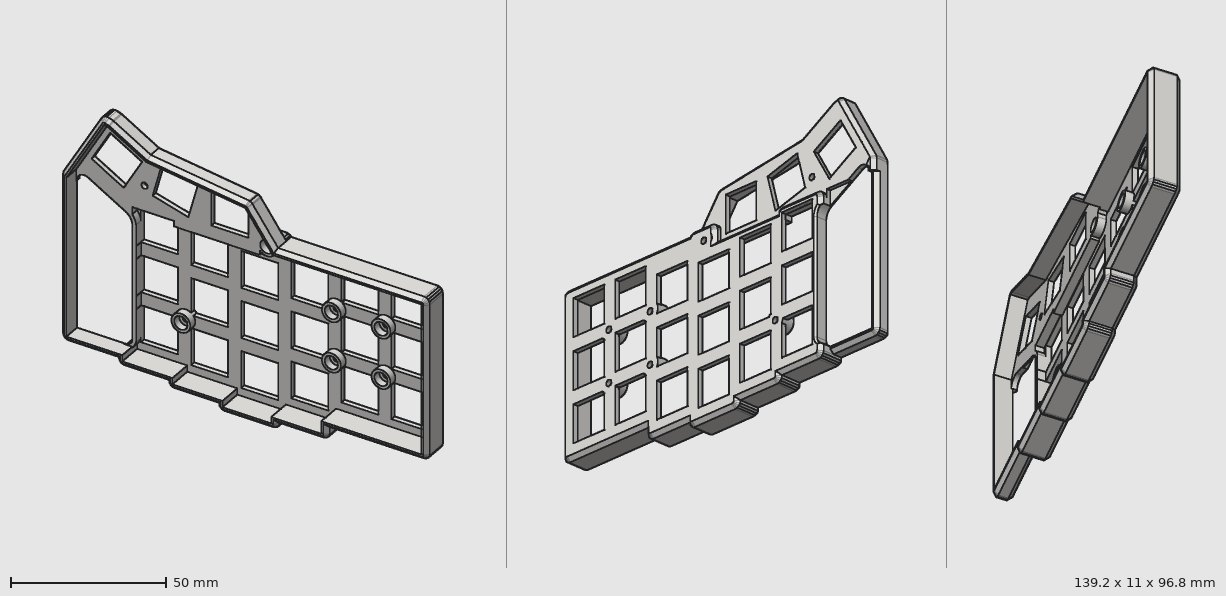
import cadquery as cq
import math

CASE_WIDTH = 139.15
CASE_HEIGHT = 96.8
WALL = 2.25
EDGE_CHAMFER = 1.5
PLATE = 2.0
CORNER_FLAT_ANGLE = math.tau / 16
SMALL_SHARE = 1e-6

FRONT_Y = -5.5
KEY_BACK_Y = 5.5
THUMB_BACK_Y = 2.5
BAY_BACK_Y = 1.0
KEY_FLOOR_Y = KEY_BACK_Y - PLATE
THUMB_FLOOR_Y = THUMB_BACK_Y - PLATE

INNER_LEFT = -CASE_WIDTH / 2 + WALL
INNER_RIGHT = CASE_WIDTH / 2 - WALL
INNER_BOTTOM = -CASE_HEIGHT / 2 + WALL
INNER_TOP = CASE_HEIGHT / 2 - WALL

KEY_PITCH = 19.0
KEY_SIZE = 14.0
STAGGER = KEY_PITCH / 8
ROWS = 3
LONGEST_COLUMN = 2
COLUMN_STEPS = [2, 1, 0, 1, 3, 3]
KEY_MARGIN = 0.5
KEY_TO_WALL = KEY_PITCH / 2 + KEY_MARGIN
KEY_TO_LEFT_STEP = 8.45
LAST_COLUMN_X = INNER_RIGHT - KEY_TO_WALL
LOWEST_KEY_Z = INNER_BOTTOM + KEY_TO_WALL


def column_x(column):
    """X of the centre of a key column."""
    return LAST_COLUMN_X - (len(COLUMN_STEPS) - 1 - column) * KEY_PITCH


def column_floor(column):
    """Z of the inside wall face below a key column."""
    return INNER_BOTTOM + COLUMN_STEPS[column] * STAGGER


THUMB_KEYS = [(-51.95, 29.8, -30), (-29.8, 25.85, -15), (-9.1, 23.95, 0)]

THUMB_TILT = 30
THUMB_SLOPE = math.tan(math.radians(THUMB_TILT))
THUMB_LEFT_Z = 21.3
THUMB_PEAK_X = INNER_LEFT + (INNER_TOP - THUMB_LEFT_Z) * THUMB_SLOPE
THUMB_BEVEL_X = THUMB_PEAK_X + 1.5
THUMB_BEVEL_Z = INNER_TOP - 0.5
THUMB_BEND_X = -37.0
THUMB_BEND_Z = THUMB_BEVEL_Z - (THUMB_BEND_X - THUMB_BEVEL_X) * THUMB_SLOPE
THUMB_SHOULDER = (0.5, 32.3)
KEY_AREA_TOP = 17.9
KEY_AREA_TOP_LEFT_X = 10.9

FIRST_COLUMN_TOP = 13.95
SECOND_COLUMN_TOP = 11.9
FIRST_STEP_X = -30.3
CORNER_BAY_LEFT = 2.3
CORNER_BAY_RIGHT = 10.1
CORNER_BAY_TOP = 19.0

WINDOW_RIGHT = column_x(0) - KEY_TO_LEFT_STEP
WINDOW_RIGHT_TOP_Z = 9.95
WINDOW_TOP_RADIUS = 5.0
WINDOW_CORNER_RADIUS = 3.0
PILLAR = 1.5
BAY_TOP_Z = 16.9

SCREW_HOLE = 2.3
INSERT_HOLE = 5.0
POST_DIAMETER = 7.2
PLATE_POSTS = [(29.4, -0.9), (48.2, -0.9), (29.4, -20.0), (48.2, -20.0), (-27.7, -23.9)]
CORNER_POST = (4.9, 15.9)
RESET_HOLE = (-41.5, 23.6)


def wall_outline(corners):
    """Counter-clockwise outline moved outwards by the wall, its outer corners rounded by short flats."""
    outline = []
    for index, (x, z) in enumerate(corners):
        previous_x, previous_z = corners[index - 1]
        next_x, next_z = corners[(index + 1) % len(corners)]
        arriving = math.atan2(z - previous_z, x - previous_x)
        leaving = math.atan2(next_z - z, next_x - x)
        turn = math.remainder(leaving - arriving, math.tau)
        first_normal = arriving - math.pi / 2
        if turn > 0:
            reach = WALL
            first_flat = math.floor(first_normal / CORNER_FLAT_ANGLE + SMALL_SHARE) + 1
            last_flat = math.ceil((first_normal + turn) / CORNER_FLAT_ANGLE - SMALL_SHARE) - 1
            between = [flat * CORNER_FLAT_ANGLE for flat in range(first_flat, last_flat + 1)]
            normals = [first_normal, *between, first_normal + turn]
        else:
            reach = WALL / math.cos(turn / 2)
            normals = [first_normal + turn / 2]
        for normal in normals:
            outline.append((x + reach * math.cos(normal), z + reach * math.sin(normal)))
    return outline


def sketch_at(y):
    """Workplane in the XZ plane at the given Y."""
    return cq.Workplane("XZ", origin=(0, y, 0))


def prism(outline, y_start, y_end):
    """Closed polygon through the points, filled from y_start to y_end."""
    return sketch_at(y_start).polyline(outline).close().extrude(y_start - y_end)


def cylinder(center, diameter, y_start, y_end):
    """Cylinder along Y around an (x, z) centre."""
    return sketch_at(y_start).center(*center).circle(diameter / 2).extrude(y_start - y_end)


def lower_steps():
    """Inside wall corners below the staggered columns, from left to right."""
    points = []
    for column in range(LONGEST_COLUMN + 1):
        left = column_x(column) - KEY_TO_LEFT_STEP
        if column > 0:
            points.append((left, column_floor(column - 1)))
        points.append((left, column_floor(column)))
    for column in range(LONGEST_COLUMN, LONGEST_COLUMN + 2):
        right = column_x(column) + KEY_TO_WALL
        points.append((right, column_floor(column)))
        points.append((right, column_floor(column + 1)))
    return points


LAST_FLOOR = column_floor(len(COLUMN_STEPS) - 1)
TRAY_OUTLINE = [
    (INNER_LEFT, LAST_FLOOR),
    (WINDOW_RIGHT, LAST_FLOOR),
    *lower_steps(),
    (INNER_RIGHT, LAST_FLOOR),
    (INNER_RIGHT, KEY_AREA_TOP),
    (KEY_AREA_TOP_LEFT_X, KEY_AREA_TOP),
    THUMB_SHOULDER,
    (THUMB_BEND_X, THUMB_BEND_Z),
    (THUMB_BEVEL_X, THUMB_BEVEL_Z),
    (THUMB_PEAK_X, INNER_TOP),
    (INNER_LEFT, THUMB_LEFT_Z),
]
FINGER_OUTLINE = [
    *lower_steps(),
    (INNER_RIGHT, LAST_FLOOR),
    (INNER_RIGHT, KEY_AREA_TOP),
    (CORNER_BAY_LEFT, KEY_AREA_TOP),
    (CORNER_BAY_LEFT, SECOND_COLUMN_TOP),
    (WINDOW_RIGHT, SECOND_COLUMN_TOP),
]
FIRST_COLUMN_OUTLINE = [
    (WINDOW_RIGHT, column_floor(0)),
    (FIRST_STEP_X, column_floor(0)),
    (FIRST_STEP_X, FIRST_COLUMN_TOP),
    (WINDOW_RIGHT, FIRST_COLUMN_TOP),
]
CORNER_BAY_OUTLINE = [
    (CORNER_BAY_LEFT, SECOND_COLUMN_TOP),
    (CORNER_BAY_RIGHT, SECOND_COLUMN_TOP),
    (CORNER_BAY_RIGHT, CORNER_BAY_TOP),
    (CORNER_BAY_LEFT, CORNER_BAY_TOP),
]
KEY_OUTLINES = [FINGER_OUTLINE, FIRST_COLUMN_OUTLINE, CORNER_BAY_OUTLINE]


def rounded_window(y_start, y_end, growth=0.0):
    """Controller window with rounded corners, all its sides moved outwards by growth."""
    left = INNER_LEFT - growth
    right = WINDOW_RIGHT + growth
    bottom = LAST_FLOOR - growth
    diagonal_rise = growth / math.cos(math.radians(THUMB_TILT))
    right_top = WINDOW_RIGHT_TOP_Z + diagonal_rise - growth * THUMB_SLOPE
    left_top = right_top + (right - left) * THUMB_SLOPE
    middle_y = (y_start + y_end) / 2

    def upright_edge(x, z):
        return cq.selectors.NearestToPointSelector((x, middle_y, z))

    outline = [(left, bottom), (right, bottom), (right, right_top), (left, left_top)]
    block = prism(outline, y_start, y_end)
    block = block.edges(upright_edge(right, bottom)).fillet(WINDOW_CORNER_RADIUS + growth)
    block = block.edges(upright_edge(right, right_top)).fillet(WINDOW_TOP_RADIUS + growth)
    return block.edges(upright_edge(left, left_top)).fillet(WINDOW_CORNER_RADIUS + growth)


def shell_block(back_y):
    """Solid with the full outside outline, chamfered around its front and back."""
    block = prism(wall_outline(TRAY_OUTLINE), FRONT_Y, back_y)
    return block.faces("<Y or >Y").chamfer(EDGE_CHAMFER)


def key_area(outline, y_start, y_end):
    """Prism over part of the finger keys, less the pillar along the controller window."""
    return prism(outline, y_start, y_end).cut(rounded_window(y_start, y_end, PILLAR))


def key_block(outline):
    """Raised and chamfered back part behind some of the finger keys, one wall wider than their area."""
    block = prism(wall_outline(outline), THUMB_FLOOR_Y, KEY_BACK_Y)
    block = block.cut(rounded_window(THUMB_FLOOR_Y, KEY_BACK_Y, PILLAR - WALL))
    return block.faces(">Y").chamfer(EDGE_CHAMFER)


def body():
    """Solid outside shape: thumb part, lower bay around the window and raised finger key part."""
    outside_left = INNER_LEFT - WALL
    outside_bottom = LAST_FLOOR - WALL
    bay_outline = [
        (outside_left, outside_bottom),
        (WINDOW_RIGHT - WALL, outside_bottom),
        (WINDOW_RIGHT - WALL, BAY_TOP_Z),
        (outside_left, BAY_TOP_Z),
    ]
    bay = prism(bay_outline, FRONT_Y, THUMB_BACK_Y)
    blocks = shell_block(THUMB_BACK_Y).cut(bay).union(shell_block(BAY_BACK_Y))
    for outline in KEY_OUTLINES:
        blocks = blocks.union(key_block(outline))
    return blocks


def key_holes():
    """Square through holes for the finger keys and the thumb keys."""
    positions = []
    for column, steps in enumerate(COLUMN_STEPS):
        for row in range(ROWS):
            z = LOWEST_KEY_Z + steps * STAGGER + row * KEY_PITCH
            positions.append((column_x(column), z, 0))
    holes = []
    for x, z, angle in positions + THUMB_KEYS:
        plane = sketch_at(FRONT_Y).center(x, z).transformed(rotate=(0, 0, angle))
        holes.append(plane.rect(KEY_SIZE, KEY_SIZE).extrude(FRONT_Y - KEY_BACK_Y))
    return holes


def corner_web():
    """Fill that joins the corner post to the raised thumb floor."""
    x, z = CORNER_POST
    post_right = x + POST_DIAMETER / 2
    outline = [
        (CORNER_BAY_LEFT, z),
        (post_right, z),
        (post_right, KEY_AREA_TOP),
        (CORNER_BAY_RIGHT, CORNER_BAY_TOP),
        (CORNER_BAY_LEFT, CORNER_BAY_TOP),
    ]
    return prism(outline, THUMB_FLOOR_Y, KEY_FLOOR_Y)


result = body()
result = result.cut(prism(TRAY_OUTLINE, FRONT_Y, THUMB_FLOOR_Y))
for key_outline in KEY_OUTLINES:
    result = result.cut(key_area(key_outline, THUMB_FLOOR_Y, KEY_FLOOR_Y))

for hole in key_holes():
    result = result.cut(hole)
result = result.cut(rounded_window(FRONT_Y, KEY_BACK_Y))

posts = [*PLATE_POSTS, CORNER_POST]
for post in posts:
    result = result.union(cylinder(post, POST_DIAMETER, THUMB_FLOOR_Y, KEY_BACK_Y))
result = result.union(corner_web())
for post in posts:
    result = result.cut(cylinder(post, INSERT_HOLE, THUMB_FLOOR_Y, KEY_FLOOR_Y))
    result = result.cut(cylinder(post, SCREW_HOLE, THUMB_FLOOR_Y, KEY_BACK_Y))

result = result.cut(cylinder(RESET_HOLE, SCREW_HOLE, FRONT_Y, KEY_BACK_Y))